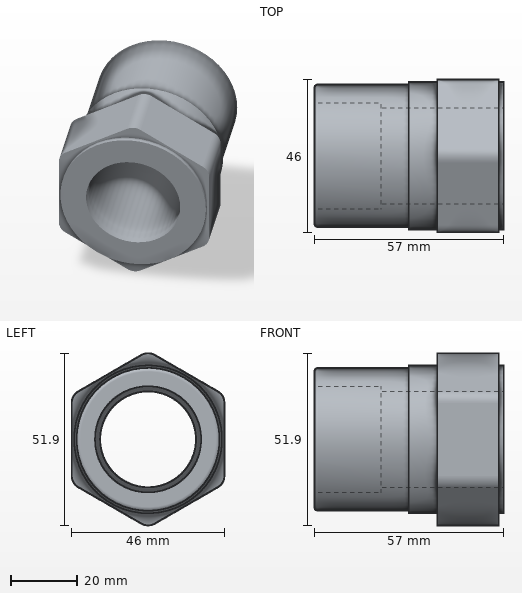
import cadquery as cq
import math

total_length = 57.0
spigot_length = 28.4
hex_start = 36.95
end_ring_length = 1.5
hex_end = total_length - end_ring_length

spigot_diameter = 43.0
collar_diameter = 44.5
hex_across_flats = 46.0
hex_corner_radius = 4.0
spigot_edge_radius = 1.1

socket_diameter = 32.0
socket_depth = 20.0
bore_diameter = 28.8


def cylinder(diameter, start, end):
    """Solid cylinder on the X axis between two X positions."""
    return cq.Workplane("YZ", origin=(start, 0, 0)).circle(diameter / 2).extrude(end - start)


def hex_nut():
    """Hexagon with rounded corners, flats facing +Y and -Y."""
    across_corners = hex_across_flats / math.cos(math.pi / 6)
    return (
        cq.Workplane("YZ", origin=(hex_start, 0, 0))
        .transformed(rotate=(0, 0, 90))
        .polygon(6, across_corners)
        .extrude(hex_end - hex_start)
        .edges("|X")
        .fillet(hex_corner_radius)
    )


spigot = cylinder(spigot_diameter, 0, spigot_length).faces("<X").edges().fillet(spigot_edge_radius)
collar = cylinder(collar_diameter, spigot_length, total_length)
body = spigot.union(collar).union(hex_nut())

socket = cylinder(socket_diameter, 0, socket_depth)
bore = cylinder(bore_diameter, 0, total_length)
result = body.cut(socket).cut(bore)